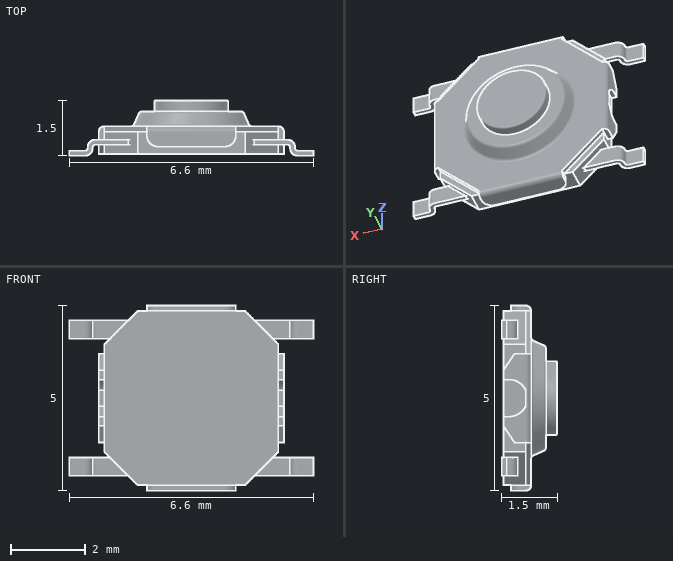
import cadquery as cq
import math


body_width = 4.7
corner_cut = 0.9
housing_height = 0.6
body_half = body_width / 2
flat_half = body_half - corner_cut

sheet = 0.15
cover_top = housing_height + sheet
tab_half_width = 1.2
cover_corner_cut = body_half - tab_half_width

plain_tab_bottom = 0.2
plain_tab_radius = 0.3

fork_shoulder = 0.3
fork_tip_half_width = 0.75
arch_radius = 0.5
arch_center_y = 0.15
arch_top_half_width = math.sqrt(arch_radius**2 - (housing_height - arch_center_y)**2)

dome_base_radius = 1.575
dome_top_radius = 1.4
dome_height = 0.4
dome_fillet = 0.1
dome_top = cover_top + dome_height

button_radius = 1.0
button_height = 0.3
button_fillet = 0.05

lead_thickness = 0.14
lead_width = 0.5
lead_center_z = 1.85
lead_tip_x = 3.3
lead_riser_x = 2.8
lead_inner_x = flat_half
lead_foot_bottom = -0.05
lead_arm_bottom = 0.25
bend_inner_radius = 0.07
bend_outer_radius = bend_inner_radius + lead_thickness


def octagon(bottom, height, corner):
    """Square prism with four corners cut by the given amount, rising along +Y."""
    return (
        cq.Workplane("XZ", origin=(0, bottom, 0))
        .rect(body_width, body_width)
        .extrude(-height)
        .edges("|Y")
        .chamfer(corner)
    )


def make_lead():
    """Gull-wing lead at the +X, +Z corner, ending square inside the housing."""
    foot_top = lead_foot_bottom + lead_thickness
    arm_top = lead_arm_bottom + lead_thickness
    riser_inner_x = lead_riser_x - lead_thickness
    diagonal = math.sqrt(0.5)
    upper_bend_x = lead_riser_x - bend_outer_radius
    upper_bend_y = arm_top - bend_outer_radius
    lower_bend_x = riser_inner_x + bend_outer_radius
    lower_bend_y = lead_foot_bottom + bend_outer_radius
    inner_offset = bend_inner_radius * diagonal
    outer_offset = bend_outer_radius * diagonal
    return (
        cq.Workplane("XY", origin=(0, 0, lead_center_z - lead_width / 2))
        .moveTo(lead_inner_x, arm_top)
        .lineTo(upper_bend_x, arm_top)
        .threePointArc(
            (upper_bend_x + outer_offset, upper_bend_y + outer_offset),
            (lead_riser_x, upper_bend_y),
        )
        .lineTo(lead_riser_x, lower_bend_y)
        .threePointArc(
            (lower_bend_x - inner_offset, lower_bend_y - inner_offset),
            (lower_bend_x, foot_top),
        )
        .lineTo(lead_tip_x, foot_top)
        .lineTo(lead_tip_x, lead_foot_bottom)
        .lineTo(lower_bend_x, lead_foot_bottom)
        .threePointArc(
            (lower_bend_x - outer_offset, lower_bend_y - outer_offset),
            (riser_inner_x, lower_bend_y),
        )
        .lineTo(riser_inner_x, upper_bend_y)
        .threePointArc(
            (upper_bend_x + inner_offset, upper_bend_y + inner_offset),
            (upper_bend_x, lead_arm_bottom),
        )
        .lineTo(lead_inner_x, lead_arm_bottom)
        .close()
        .extrude(lead_width)
    )


def tab_bend():
    """Quarter-round bend joining the cover plate to a tab on the +Z side."""
    return (
        cq.Workplane("YZ", origin=(-tab_half_width, 0, 0))
        .center(housing_height, body_half)
        .lineTo(sheet, 0)
        .threePointArc((sheet * math.sqrt(0.5), sheet * math.sqrt(0.5)), (0, sheet))
        .close()
        .extrude(2 * tab_half_width)
    )


def plain_tab():
    """Straight tab on the +Z side with rounded lower corners."""
    wall_height = housing_height - plain_tab_bottom
    wall = (
        cq.Workplane("XY", origin=(0, plain_tab_bottom + wall_height / 2, body_half))
        .rect(2 * tab_half_width, wall_height)
        .extrude(sheet)
        .edges("|Z")
        .edges("<Y")
        .fillet(plain_tab_radius)
    )
    return wall.union(tab_bend())


def forked_tab():
    """Two-pronged tab on the +Z side with an arched gap between the prongs."""
    arch_mid_angle = math.asin((housing_height - arch_center_y) / arch_radius) / 2
    arch_mid_x = arch_radius * math.cos(arch_mid_angle)
    arch_mid_y = arch_center_y + arch_radius * math.sin(arch_mid_angle)
    wall = (
        cq.Workplane("XY", origin=(0, 0, body_half))
        .moveTo(-tab_half_width, housing_height)
        .lineTo(-tab_half_width, fork_shoulder)
        .lineTo(-fork_tip_half_width, 0)
        .lineTo(fork_tip_half_width, 0)
        .lineTo(tab_half_width, fork_shoulder)
        .lineTo(tab_half_width, housing_height)
        .close()
        .extrude(sheet)
    )
    gap = (
        cq.Workplane("XY", origin=(0, 0, body_half))
        .moveTo(-arch_radius, 0)
        .lineTo(-arch_radius, arch_center_y)
        .threePointArc((-arch_mid_x, arch_mid_y), (-arch_top_half_width, housing_height))
        .lineTo(arch_top_half_width, housing_height)
        .threePointArc((arch_mid_x, arch_mid_y), (arch_radius, arch_center_y))
        .lineTo(arch_radius, 0)
        .close()
        .extrude(sheet)
    )
    return wall.cut(gap).union(tab_bend())


def make_dome():
    """Cone-sided dome, rounded at its top rim and flared into the cover plate."""
    lean = math.atan2(dome_base_radius - dome_top_radius, dome_height)
    turn = math.pi / 2 - lean
    setback = dome_fillet * math.tan(turn / 2)
    wall_dx = setback * math.sin(lean)
    wall_dy = setback * math.cos(lean)
    mid_dx = dome_fillet * math.sin(turn / 2)
    mid_dy = dome_fillet * (1 - math.cos(turn / 2))
    flare_radius = dome_base_radius + setback
    rim_radius = dome_top_radius - setback
    return (
        cq.Workplane("XY")
        .moveTo(0, cover_top)
        .lineTo(flare_radius, cover_top)
        .threePointArc(
            (flare_radius - mid_dx, cover_top + mid_dy),
            (dome_base_radius - wall_dx, cover_top + wall_dy),
        )
        .lineTo(dome_top_radius + wall_dx, dome_top - wall_dy)
        .threePointArc((rim_radius + mid_dx, dome_top - mid_dy), (rim_radius, dome_top))
        .lineTo(0, dome_top)
        .close()
        .revolve(360, (0, 0, 0), (0, 1, 0))
    )


def make_cover():
    """Cover plate with its dome, plain tabs on the Z sides and forked tabs on the X sides."""
    cover = octagon(housing_height, sheet, cover_corner_cut).union(make_dome())
    for turn in (0, 180):
        cover = cover.union(plain_tab().rotate((0, 0, 0), (0, 1, 0), turn))
        cover = cover.union(forked_tab().rotate((0, 0, 0), (0, 1, 0), turn + 90))
    return cover


def make_button():
    """Round button standing on the dome."""
    return (
        cq.Workplane("XZ", origin=(0, dome_top, 0))
        .circle(button_radius)
        .extrude(-button_height)
        .faces(">Y")
        .edges()
        .fillet(button_fillet)
    )


def make_housing(leads):
    """Octagonal housing with a pocket for each lead."""
    housing = octagon(0, housing_height, corner_cut)
    for lead in leads:
        housing = housing.cut(lead)
    return housing


leads = []
for side_lead in (make_lead(), make_lead().mirror("YZ")):
    leads.append(side_lead)
    leads.append(side_lead.mirror("XY"))

housing = make_housing(leads)
cover = make_cover()
button = make_button()

result = cq.Compound.makeCompound(
    [housing.val(), cover.val(), button.val(), *[lead.val() for lead in leads]]
)